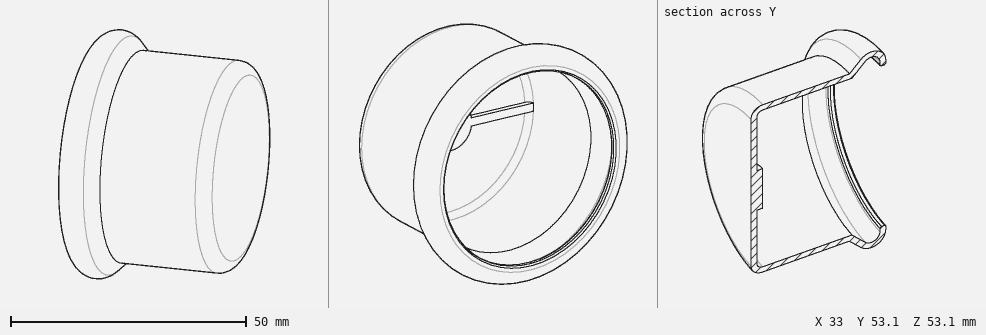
import cadquery as cq
import math

length = 33.0
rim_diameter = 53.1
sleeve_diameter = 45.4
bore_diameter = 42.3
lip_diameter = 43.3
roll_radius = 3.6
base_radius = 2.85
lip_chamfer = 0.35
hub_diameter = 10.85
rib_width = 1.85

sleeve_radius = sleeve_diameter / 2
bore_radius = bore_diameter / 2
wall = sleeve_radius - bore_radius
lip_radius = lip_diameter / 2
roll_x = roll_radius
roll_r = rim_diameter / 2 - roll_radius
flare_end = roll_x + roll_r - sleeve_radius + roll_radius * math.sqrt(2)
hollow_radius = roll_radius - wall
inner_flare_end = flare_end - wall * math.tan(math.radians(22.5))
inner_base_radius = base_radius - wall
floor_x = length - wall
raised_height = inner_base_radius


def roll_point(radius, degrees):
    """Point on the rim section; 0 degrees points along +X, 90 degrees outward."""
    angle = math.radians(degrees)
    return (roll_x + radius * math.cos(angle), roll_r + radius * math.sin(angle))


def corner_middle(radius):
    """Middle of an arc about the shared centre of the closed-end roundings."""
    offset = radius * math.sqrt(0.5)
    return (length - base_radius + offset, sleeve_radius - base_radius + offset)


def make_cup():
    """Constant-thickness shell with a rolled rim, flare and rounded base."""
    profile = (
        cq.Workplane("XY")
        .moveTo(length, 0)
        .lineTo(length, sleeve_radius - base_radius)
        .threePointArc(corner_middle(base_radius), (length - base_radius, sleeve_radius))
        .lineTo(flare_end, sleeve_radius)
        .lineTo(*roll_point(roll_radius, 45))
        .threePointArc(roll_point(roll_radius, 112.5), roll_point(roll_radius, 180))
        .lineTo(0, lip_radius + lip_chamfer)
        .lineTo(lip_chamfer, lip_radius)
        .lineTo(wall - lip_chamfer, lip_radius)
        .lineTo(wall, lip_radius + lip_chamfer)
        .lineTo(*roll_point(hollow_radius, 180))
        .threePointArc(roll_point(hollow_radius, 112.5), roll_point(hollow_radius, 45))
        .lineTo(inner_flare_end, bore_radius)
        .lineTo(length - base_radius, bore_radius)
        .threePointArc(corner_middle(inner_base_radius), (floor_x, bore_radius - inner_base_radius))
        .lineTo(floor_x, 0)
        .close()
    )
    return profile.revolve(360, (0, 0, 0), (1, 0, 0))


def make_hub_and_rib():
    """Raised disc on the floor with a rib running to the wall on the -Y side."""
    rib_length = bore_radius + wall / 4
    floor_plane = cq.Workplane("YZ").workplane(offset=floor_x - raised_height)
    extrusion = raised_height + wall / 4
    hub = floor_plane.circle(hub_diameter / 2).extrude(extrusion)
    rib = floor_plane.center(-rib_length / 2, 0).rect(rib_length, rib_width).extrude(extrusion)
    return hub.union(rib)


result = make_cup().union(make_hub_and_rib())